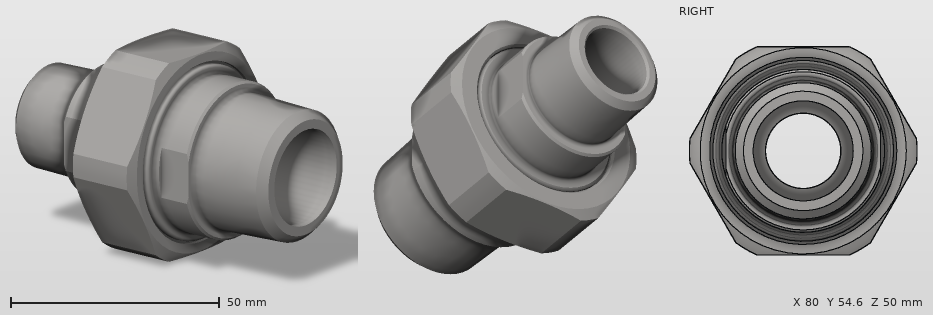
import cadquery as cq
import math

TOTAL_LENGTH = 80.0

LIP_BACK_X = 32.8
JOINT_X = 36.0

NUT_START = 29.4
NUT_END = 48.0
NUT_ACROSS_FLATS = 50.0
NUT_CORNER_DIA = 54.6
NUT_FACE_DIA = 49.4
NUT_CHAMFER_LENGTH = 1.0
NUT_LIP_DIA = 39.5
NUT_LIP_CHAMFER = 0.6
NUT_THREAD_DIA = 44.9

TAIL_BORE_DIA = 18.0
TAIL_BORE_CHAMFER = 0.6
TAIL_TIP_DIA = 22.6
TAIL_THREAD_DIA = 25.9
TAIL_TIP_CHAMFER_LENGTH = 1.6
TAIL_THREAD_ROOT_DIA = 26.7
TAIL_SHOULDER_X = 17.9
TAIL_ROOT_FILLET = 0.3
TAIL_COLLAR_DIA = 33.0
TAIL_COLLAR_CHAMFER = 0.6
TAIL_FLAT_END = 28.2
TAIL_ACROSS_FLATS = 30.0
TAIL_FLANGE_X = 29.5
TAIL_FLANGE_DIA = 39.0
TAIL_FLANGE_CHAMFER = 0.6
TAIL_FLANGE_FILLET = 0.5
TAIL_HEAD_DIA = 43.0

BODY_BORE_DIA = 24.0
BODY_TIP_DIA = 28.6
BODY_THREAD_DIA = 32.6
BODY_TIP_CHAMFER_LENGTH = 2.2
BODY_THREAD_ROOT_DIA = 33.9
BODY_SHOULDER_X = 58.9
BODY_ROOT_FILLET = 0.9
BODY_COLLAR_DIA = 39.0
BODY_COLLAR_CHAMFER = 0.6
BODY_FLAT_START = 50.6
BODY_ACROSS_FLATS = 37.0
BODY_FLANGE_X = 49.0
BODY_FLANGE_DIA = 43.4
BODY_FLANGE_ROUND = 0.7
BODY_FLANGE_ROOT_FILLET = 0.6
BODY_NECK_X = NUT_END - NUT_CHAMFER_LENGTH


def revolve_about_x(profile):
    """Revolve a closed half profile, drawn as (x, radius), about the X axis."""
    return profile.close().revolve(360, (0, 0, 0), (1, 0, 0))


def arc_middle(center_x, center_r, radius, x_side, r_side):
    """Middle of a quarter arc, lying on the given sides of its center."""
    offset = radius * math.sqrt(0.5)
    return (center_x + x_side * offset, center_r + r_side * offset)


def cut_wrench_flats(solid, start, end, across_flats):
    """Cut two parallel flats, facing -Y and +Y, between two X stations."""
    depth = NUT_CORNER_DIA
    for side in (-1, 1):
        cutter = cq.Workplane("XY").box(end - start, depth, depth).translate(
            ((start + end) / 2, side * (across_flats + depth) / 2, 0)
        )
        solid = solid.cut(cutter)
    return solid


def make_nut():
    across_corners = NUT_ACROSS_FLATS / math.cos(math.pi / 6)
    hexagon = (
        cq.Workplane("YZ", origin=(NUT_START, 0, 0))
        .polygon(6, across_corners)
        .extrude(NUT_END - NUT_START)
    )
    face_r = NUT_FACE_DIA / 2
    corner_r = NUT_CORNER_DIA / 2
    lip_r = NUT_LIP_DIA / 2
    thread_r = NUT_THREAD_DIA / 2
    ring = revolve_about_x(
        cq.Workplane("XY")
        .moveTo(NUT_START, lip_r + NUT_LIP_CHAMFER)
        .lineTo(NUT_START, face_r)
        .lineTo(NUT_START + NUT_CHAMFER_LENGTH, corner_r)
        .lineTo(NUT_END - NUT_CHAMFER_LENGTH, corner_r)
        .lineTo(NUT_END, face_r)
        .lineTo(NUT_END, thread_r)
        .lineTo(LIP_BACK_X, thread_r)
        .lineTo(LIP_BACK_X, lip_r)
        .lineTo(NUT_START + NUT_LIP_CHAMFER, lip_r)
    )
    return hexagon.intersect(ring)


def make_tailpiece():
    bore_r = TAIL_BORE_DIA / 2
    root_r = TAIL_THREAD_ROOT_DIA / 2
    collar_r = TAIL_COLLAR_DIA / 2
    flange_r = TAIL_FLANGE_DIA / 2
    head_r = TAIL_HEAD_DIA / 2
    root_x = TAIL_SHOULDER_X - TAIL_ROOT_FILLET
    root_fillet_r = root_r + TAIL_ROOT_FILLET
    flange_fillet_x = TAIL_FLANGE_X - TAIL_FLANGE_FILLET
    flange_fillet_r = collar_r + TAIL_FLANGE_FILLET
    tailpiece = revolve_about_x(
        cq.Workplane("XY")
        .moveTo(0, bore_r + TAIL_BORE_CHAMFER)
        .lineTo(0, TAIL_TIP_DIA / 2)
        .lineTo(TAIL_TIP_CHAMFER_LENGTH, TAIL_THREAD_DIA / 2)
        .lineTo(root_x, root_r)
        .threePointArc(
            arc_middle(root_x, root_fillet_r, TAIL_ROOT_FILLET, 1, -1),
            (TAIL_SHOULDER_X, root_fillet_r),
        )
        .lineTo(TAIL_SHOULDER_X, collar_r - TAIL_COLLAR_CHAMFER)
        .lineTo(TAIL_SHOULDER_X + TAIL_COLLAR_CHAMFER, collar_r)
        .lineTo(flange_fillet_x, collar_r)
        .threePointArc(
            arc_middle(flange_fillet_x, flange_fillet_r, TAIL_FLANGE_FILLET, 1, -1),
            (TAIL_FLANGE_X, flange_fillet_r),
        )
        .lineTo(TAIL_FLANGE_X, flange_r - TAIL_FLANGE_CHAMFER)
        .lineTo(TAIL_FLANGE_X + TAIL_FLANGE_CHAMFER, flange_r)
        .lineTo(LIP_BACK_X, flange_r)
        .lineTo(LIP_BACK_X, head_r)
        .lineTo(JOINT_X, head_r)
        .lineTo(JOINT_X, bore_r)
        .lineTo(TAIL_BORE_CHAMFER, bore_r)
    )
    return cut_wrench_flats(tailpiece, TAIL_SHOULDER_X, TAIL_FLAT_END, TAIL_ACROSS_FLATS)


def make_body():
    bore_r = BODY_BORE_DIA / 2
    thread_r = NUT_THREAD_DIA / 2
    flange_r = BODY_FLANGE_DIA / 2
    collar_r = BODY_COLLAR_DIA / 2
    root_r = BODY_THREAD_ROOT_DIA / 2
    round_x = BODY_FLANGE_X - BODY_FLANGE_ROUND
    round_r = flange_r - BODY_FLANGE_ROUND
    flange_fillet_x = BODY_FLANGE_X + BODY_FLANGE_ROOT_FILLET
    flange_fillet_r = collar_r + BODY_FLANGE_ROOT_FILLET
    root_x = BODY_SHOULDER_X + BODY_ROOT_FILLET
    root_fillet_r = root_r + BODY_ROOT_FILLET
    body = revolve_about_x(
        cq.Workplane("XY")
        .moveTo(JOINT_X, bore_r)
        .lineTo(JOINT_X, thread_r)
        .lineTo(BODY_NECK_X, thread_r)
        .lineTo(BODY_NECK_X, flange_r)
        .lineTo(round_x, flange_r)
        .threePointArc(
            arc_middle(round_x, round_r, BODY_FLANGE_ROUND, 1, 1),
            (BODY_FLANGE_X, round_r),
        )
        .lineTo(BODY_FLANGE_X, flange_fillet_r)
        .threePointArc(
            arc_middle(flange_fillet_x, flange_fillet_r, BODY_FLANGE_ROOT_FILLET, -1, -1),
            (flange_fillet_x, collar_r),
        )
        .lineTo(BODY_SHOULDER_X - BODY_COLLAR_CHAMFER, collar_r)
        .lineTo(BODY_SHOULDER_X, collar_r - BODY_COLLAR_CHAMFER)
        .lineTo(BODY_SHOULDER_X, root_fillet_r)
        .threePointArc(
            arc_middle(root_x, root_fillet_r, BODY_ROOT_FILLET, -1, -1),
            (root_x, root_r),
        )
        .lineTo(TOTAL_LENGTH - BODY_TIP_CHAMFER_LENGTH, BODY_THREAD_DIA / 2)
        .lineTo(TOTAL_LENGTH, BODY_TIP_DIA / 2)
        .lineTo(TOTAL_LENGTH, bore_r)
    )
    return cut_wrench_flats(body, BODY_FLAT_START, BODY_SHOULDER_X, BODY_ACROSS_FLATS)


nut = make_nut()
tailpiece = make_tailpiece()
body = make_body()

result = cq.Compound.makeCompound([part.solids().val() for part in (nut, tailpiece, body)])